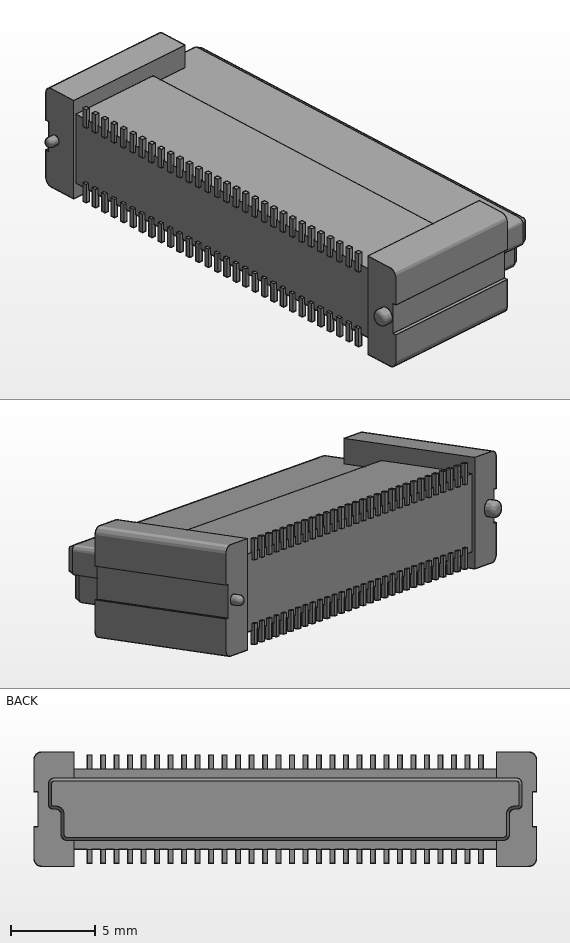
import cadquery as cq


TOTAL_LENGTH = 29.8
BLOCK_HEIGHT = 6.8
BLOCK_DEPTH = 9.2
BLOCK_INNER_X = 12.52
BLOCK_RADIUS = 0.48
NOTCH_HEIGHT = 2.05
NOTCH_DEPTH = 0.25

HOUSING_HEIGHT = 4.77
HOUSING_FRONT_Y = 0.18
HOUSING_BACK_Y = 6.55

SHROUD_LENGTH = 28.07
SHROUD_HEIGHT = 3.7
SHROUD_PROTRUSION = 2.5
SHROUD_BACK_Y = BLOCK_DEPTH + SHROUD_PROTRUSION
SHROUD_CORNER_RADIUS = 0.35
SHROUD_STEP_WIDTH = 0.75
SHROUD_STEP_Z = 0.0
SHROUD_STEP_RADIUS = 0.3
SHROUD_LEAD_IN_LENGTH = 0.35
SHROUD_LEAD_IN_INSET = 0.18

CONTACTS_PER_ROW = 30
CONTACT_ROW_SPAN = 23.18
CONTACT_PITCH = CONTACT_ROW_SPAN / (CONTACTS_PER_ROW - 1)
CONTACT_WIDTH = 0.3
CONTACT_THICKNESS = 0.27
CONTACT_HEIGHT = 1.28
CONTACT_SETBACK = 0.18
CONTACT_OUTER_Z = BLOCK_HEIGHT / 2 - CONTACT_SETBACK

PEG_OFFSET_X = 14.1
PEG_LENGTH = 0.7
PEG_TIP_RADIUS = 0.3
LEFT_PEG_DIAMETER = 0.65
RIGHT_PEG_DIAMETER = 1.05


def box(x_span, y_span, z_span):
    """Box between the given (low, high) limits along each axis."""
    size = [high - low for low, high in (x_span, y_span, z_span)]
    corner = (x_span[0], y_span[0], z_span[0])
    return cq.Workplane("XY").box(*size, centered=False).translate(corner)


def centred(size):
    """(low, high) limits of a size centred on zero."""
    return (-size / 2, size / 2)


def end_block(side):
    """Block with rounded outer edges and a notch along its outer face; side is -1 or +1."""
    outer_x = side * TOTAL_LENGTH / 2
    outer_face = "<X" if side < 0 else ">X"
    block = box(sorted((side * BLOCK_INNER_X, outer_x)), (0, BLOCK_DEPTH), centred(BLOCK_HEIGHT))
    block = block.faces(outer_face).edges("|Y").fillet(BLOCK_RADIUS)
    notch_span = sorted((outer_x - side * NOTCH_DEPTH, outer_x))
    return block.cut(box(notch_span, (0, BLOCK_DEPTH), centred(NOTCH_HEIGHT)))


def housing():
    return box(centred(2 * BLOCK_INNER_X), (HOUSING_FRONT_Y, HOUSING_BACK_Y), centred(HOUSING_HEIGHT))


def shroud():
    """Plug body with a stepped outline, rounded corners and a bevelled mating face."""
    upper_x = SHROUD_LENGTH / 2
    lower_x = upper_x - SHROUD_STEP_WIDTH
    top_z = SHROUD_HEIGHT / 2
    outline = [
        (-upper_x, top_z),
        (upper_x, top_z),
        (upper_x, SHROUD_STEP_Z),
        (lower_x, SHROUD_STEP_Z),
        (lower_x, -top_z),
        (-lower_x, -top_z),
        (-lower_x, SHROUD_STEP_Z),
        (-upper_x, SHROUD_STEP_Z),
    ]
    plug = (
        cq.Workplane("XZ", origin=(0, HOUSING_FRONT_Y, 0))
        .polyline(outline)
        .close()
        .extrude(HOUSING_FRONT_Y - SHROUD_BACK_Y)
    )
    step_zone = cq.selectors.BoxSelector(
        (-TOTAL_LENGTH, HOUSING_FRONT_Y, SHROUD_STEP_Z - SHROUD_STEP_RADIUS),
        (TOTAL_LENGTH, SHROUD_BACK_Y, SHROUD_STEP_Z + SHROUD_STEP_RADIUS),
    )
    plug = plug.edges("|Y").edges(step_zone).fillet(SHROUD_STEP_RADIUS)
    for corner_face in (">Z", "<Z"):
        plug = plug.faces(corner_face).edges("|Y").fillet(SHROUD_CORNER_RADIUS)
    return plug.faces(">Y").chamfer(SHROUD_LEAD_IN_LENGTH, SHROUD_LEAD_IN_INSET)


def contact_rows():
    """Two mirrored rows of contact tails across the front of the housing."""
    tails = cq.Workplane("XY")
    middle_z = CONTACT_OUTER_Z - CONTACT_HEIGHT / 2
    for row_z in (middle_z, -middle_z):
        tails = tails.union(
            cq.Workplane("XY")
            .workplane(offset=row_z)
            .center(0, CONTACT_THICKNESS / 2)
            .rarray(CONTACT_PITCH, 0.3, CONTACTS_PER_ROW, 1)
            .box(CONTACT_WIDTH, CONTACT_THICKNESS, CONTACT_HEIGHT)
        )
    return tails


def peg(x, diameter):
    """Round-tipped peg standing on the front face of an end block."""
    return (
        cq.Workplane("XZ", origin=(x, 0, 0))
        .circle(diameter / 2)
        .extrude(PEG_LENGTH)
        .faces("<Y")
        .edges()
        .fillet(PEG_TIP_RADIUS)
    )


result = (
    housing()
    .union(shroud())
    .union(end_block(-1))
    .union(end_block(1))
    .union(contact_rows())
    .union(peg(-PEG_OFFSET_X, LEFT_PEG_DIAMETER))
    .union(peg(PEG_OFFSET_X, RIGHT_PEG_DIAMETER))
)